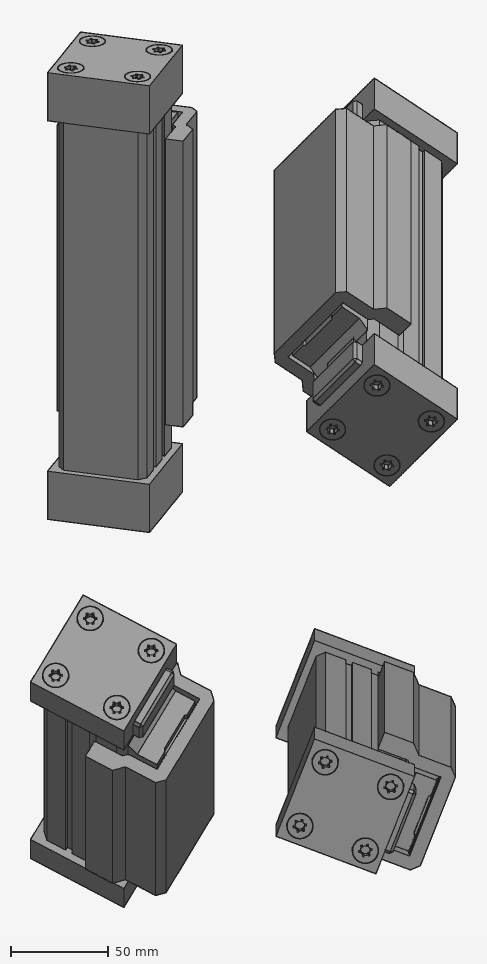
import cadquery as cq

TOTAL_LENGTH = 250.0

CAP_SIDE = 55.0
CAP_HALF = CAP_SIDE / 2
CAP_LENGTH = 27.0
SCREW_OFFSET = 18.0
COUNTERBORE_DIAMETER = 13.5
SCREW_HEAD_DIAMETER = 13.0
COUNTERBORE_DEPTH = 7.5
SOCKET_CORE_DIAMETER = 5.0
SOCKET_TIP_DIAMETER = 7.0
SOCKET_LOBES = 6
SOCKET_LOBE_RADIUS = 0.5
SOCKET_DEPTH = 4.0

BARREL_LENGTH = TOTAL_LENGTH - 2 * CAP_LENGTH
BARREL_HALF = 23.8
BARREL_TOP = 25.8
BARREL_TOP_CHAMFER = 4.8
BARREL_BOTTOM_CHAMFER = 3.8
SLOT_WIDTH = 3.8
SLOT_OFFSET = 7.0
SLOT_DEPTH = 1.8
DOVETAIL_UNDERCUT = SLOT_DEPTH

BAND_WIDTH = 21.0
BAND_TOP = CAP_HALF
CLAMP_WIDTH = 35.5
CLAMP_HEIGHT = 5.0
CLAMP_LENGTH = 16.0
CLAMP_CHAMFER = 1.5

MOUNT_LENGTH = 160.0
MOUNT_TOP = 51.0
MOUNT_BOTTOM = 8.5
MOUNT_HALF = 34.0
MOUNT_UPPER_HALF = 29.0
MOUNT_TOP_CHAMFER = 4.0
FLARE_START = 29.2
FLARE_HEIGHT = 4.8
CHANNEL_TOP = 44.0
CHANNEL_UPPER_HALF = 22.2
CHANNEL_LOWER_HALF = 24.5
CHANNEL_STEP_START = 27.2
PAD_HEIGHT = 0.5
PAD_SETBACK = 5.0

CARRIER_HALF = 20.0
CARRIER_TOP = CHANNEL_TOP - PAD_HEIGHT
RAMP_START = 31.2
NOTCH_TOP_WIDTH = 23.0
NOTCH_BOTTOM_WIDTH = 21.0
NOTCH_DEPTH = 1.0
END_DROP = 0.8
END_LENGTH = PAD_SETBACK


def mirrored_outline(right_side):
    """Close an outline from its +X half, listed from one end of the outline to the other."""
    left_side = [(-x, y) for x, y in reversed(right_side)]
    return cq.Workplane("XY").polyline(right_side + left_side).close()


def centred_extrusion(outline, length):
    return outline.extrude(length / 2, both=True)


def make_slot(side, centre_y, undercut):
    """Groove along one side of the barrel; its floor is wider than its mouth by the undercut."""
    mouth_x = side * BARREL_HALF
    floor_x = side * (BARREL_HALF - SLOT_DEPTH)
    mouth_half = SLOT_WIDTH / 2
    floor_half = mouth_half + undercut
    outline = cq.Workplane("XY").polyline(
        [
            (mouth_x, centre_y - mouth_half),
            (mouth_x, centre_y + mouth_half),
            (floor_x, centre_y + floor_half),
            (floor_x, centre_y - floor_half),
        ]
    )
    return centred_extrusion(outline.close(), BARREL_LENGTH)


def make_barrel():
    barrel = centred_extrusion(
        mirrored_outline(
            [
                (BARREL_HALF - BARREL_BOTTOM_CHAMFER, -BARREL_HALF),
                (BARREL_HALF, -BARREL_HALF + BARREL_BOTTOM_CHAMFER),
                (BARREL_HALF, BARREL_TOP - BARREL_TOP_CHAMFER),
                (BARREL_HALF - BARREL_TOP_CHAMFER, BARREL_TOP),
            ]
        ),
        BARREL_LENGTH,
    )
    for side in (-1, 1):
        barrel = barrel.cut(make_slot(side, -SLOT_OFFSET, 0))
        barrel = barrel.cut(make_slot(side, SLOT_OFFSET, DOVETAIL_UNDERCUT))
    return barrel


def make_band():
    """Sealing band, from the flat of the barrel up to the level of the cap tops."""
    height = BAND_TOP - BARREL_TOP
    return cq.Workplane("XY").box(BAND_WIDTH, height, BARREL_LENGTH).translate((0, BARREL_TOP + height / 2, 0))


def screw_points():
    """Screw axes of the top cap, on its outer face."""
    spacing = 2 * SCREW_OFFSET
    outer_face = cq.Workplane("XY").workplane(offset=TOTAL_LENGTH / 2)
    return outer_face.rect(spacing, spacing, forConstruction=True).vertices()


def make_socket():
    """Six-lobed screw drive, as a solid that reaches down from Z = 0."""
    core = cq.Workplane("XY").circle(SOCKET_CORE_DIAMETER / 2).extrude(-SOCKET_DEPTH)
    lobes = (
        cq.Workplane("XY")
        .polarArray(SOCKET_TIP_DIAMETER / 2 - SOCKET_LOBE_RADIUS, 0, 360, SOCKET_LOBES)
        .circle(SOCKET_LOBE_RADIUS)
        .extrude(-SOCKET_DEPTH)
    )
    return core.union(lobes)


def make_top_cap():
    """Cap at the +Z end, with four socket screws flush in its counterbores."""
    clearance = (
        screw_points()
        .circle(COUNTERBORE_DIAMETER / 2)
        .circle(SCREW_HEAD_DIAMETER / 2)
        .extrude(-COUNTERBORE_DEPTH)
    )
    socket = make_socket().val()
    return (
        cq.Workplane("XY")
        .workplane(offset=BARREL_LENGTH / 2)
        .rect(CAP_SIDE, CAP_SIDE)
        .extrude(CAP_LENGTH)
        .cut(clearance)
        .cut(screw_points().eachpoint(socket.moved))
    )


def make_top_clamp():
    """Band clamp on the +Z cap, chamfered along its outer end and its top edges."""
    return (
        cq.Workplane("XY")
        .box(CLAMP_WIDTH, CLAMP_HEIGHT, CLAMP_LENGTH)
        .edges("(>Z and (not <Y)) or (>Y and |Z)")
        .chamfer(CLAMP_CHAMFER)
        .translate((0, CAP_HALF + CLAMP_HEIGHT / 2, BARREL_LENGTH / 2 + CLAMP_LENGTH / 2))
    )


def make_cylinder():
    cap_with_clamp = make_top_cap().union(make_top_clamp())
    return (
        make_barrel()
        .union(make_band())
        .union(cap_with_clamp)
        .union(cap_with_clamp.mirror("XY"))
    )


def make_carrier():
    """Block with lowered, notched ends that ramp down at 45 degrees onto the barrel."""
    half_length = MOUNT_LENGTH / 2
    land_half_length = half_length - END_LENGTH
    end_top = CARRIER_TOP - END_DROP
    ramp_foot = half_length + RAMP_START - BARREL_TOP
    upper_end = [
        (CARRIER_TOP, land_half_length),
        (end_top, land_half_length),
        (end_top, half_length),
        (RAMP_START, half_length),
        (BARREL_TOP, ramp_foot),
    ]
    lower_end = [(y, -z) for y, z in reversed(upper_end)]
    carrier = (
        cq.Workplane("YZ")
        .polyline(upper_end + lower_end)
        .close()
        .extrude(CARRIER_HALF, both=True)
        .cut(make_band())
    )
    notch = (
        mirrored_outline(
            [(NOTCH_BOTTOM_WIDTH / 2, end_top - NOTCH_DEPTH), (NOTCH_TOP_WIDTH / 2, end_top)]
        )
        .extrude(END_LENGTH)
        .translate((0, 0, land_half_length))
    )
    return carrier.cut(notch).cut(notch.mirror("XY"))


def make_mount():
    """Channel with flared legs; a pad under its web rests on the carrier."""
    channel_step = CHANNEL_LOWER_HALF - CHANNEL_UPPER_HALF
    outline = mirrored_outline(
        [
            (CHANNEL_UPPER_HALF, CHANNEL_TOP),
            (CHANNEL_UPPER_HALF, CHANNEL_STEP_START),
            (CHANNEL_LOWER_HALF, CHANNEL_STEP_START - channel_step),
            (CHANNEL_LOWER_HALF, MOUNT_BOTTOM),
            (MOUNT_HALF, MOUNT_BOTTOM),
            (MOUNT_HALF, FLARE_START - FLARE_HEIGHT),
            (MOUNT_UPPER_HALF, FLARE_START),
            (MOUNT_UPPER_HALF, MOUNT_TOP - MOUNT_TOP_CHAMFER),
            (MOUNT_UPPER_HALF - MOUNT_TOP_CHAMFER, MOUNT_TOP),
        ]
    )
    pad = (
        cq.Workplane("XY")
        .box(2 * CHANNEL_UPPER_HALF, PAD_HEIGHT, MOUNT_LENGTH - 2 * PAD_SETBACK)
        .translate((0, CHANNEL_TOP - PAD_HEIGHT / 2, 0))
    )
    return centred_extrusion(outline, MOUNT_LENGTH).union(pad)


cylinder = make_cylinder()
carrier = make_carrier()
mount = make_mount()

result = cq.Compound.makeCompound([cylinder.val(), carrier.val(), mount.val()])